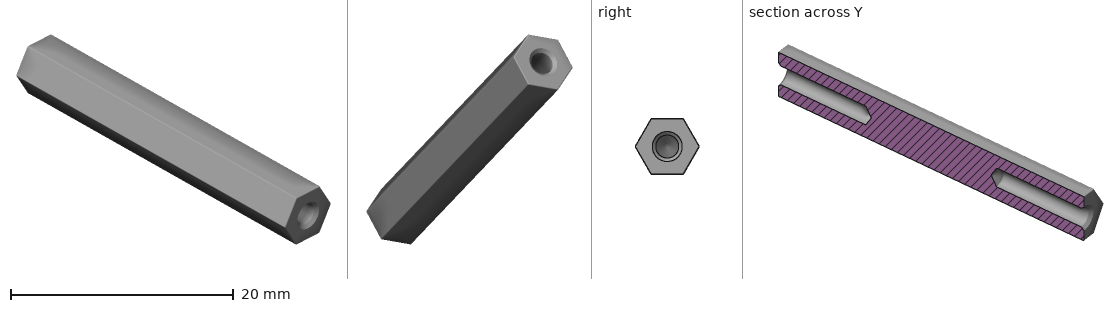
import cadquery as cq
import math

length = 35.0
across_flats = 5.0
edge_radius = 0.1
bore_diameter = 2.05
mouth_diameter = 2.7
bore_depth = 10.0
drill_point_angle = 118.0

across_corners = across_flats / math.cos(math.pi / 6)


def hexagonal_bar():
    """Bar along X with flats facing +Z and -Z."""
    bar = cq.Workplane("YZ").polygon(6, across_corners).extrude(length)
    return bar.edges().fillet(edge_radius)


def blind_hole():
    """Countersunk blind hole with a drill point, entering at X = 0 and running along +X."""
    bore_radius = bore_diameter / 2
    mouth_radius = mouth_diameter / 2
    countersink_depth = mouth_radius - bore_radius
    point_depth = bore_radius / math.tan(math.radians(drill_point_angle / 2))
    half_profile = (
        cq.Workplane("XY")
        .moveTo(0, 0)
        .lineTo(0, mouth_radius)
        .lineTo(countersink_depth, bore_radius)
        .lineTo(bore_depth, bore_radius)
        .lineTo(bore_depth + point_depth, 0)
        .close()
    )
    return half_profile.revolve(360, (0, 0, 0), (1, 0, 0))


near_hole = blind_hole()
far_hole = near_hole.mirror("YZ", (length / 2, 0, 0))
result = hexagonal_bar().cut(near_hole).cut(far_hole)